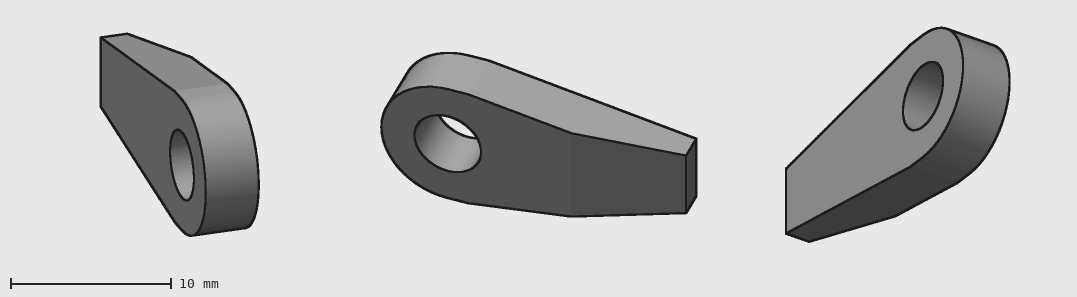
import cadquery as cq

length = 19.67
thickness = 3.5
head_height = 8.9
hole_diameter = head_height / 2
flat_length = 1.38
tip_height = 4.7
tip_thickness = 1.75
bevel_length = 6.96

head_radius = head_height / 2
tip_x = head_radius - length


def lever_plate():
    """Tapered plate with a round head, front face on Y = 0."""
    return (
        cq.Workplane("XZ")
        .moveTo(tip_x, -tip_height / 2)
        .lineTo(-flat_length, -head_radius)
        .lineTo(0, -head_radius)
        .threePointArc((head_radius, 0), (0, head_radius))
        .lineTo(-flat_length, head_radius)
        .lineTo(tip_x, tip_height / 2)
        .close()
        .extrude(-thickness)
    )


def tip_bevel():
    """Wedge removed from the back face to thin the tip."""
    return (
        cq.Workplane("XY")
        .moveTo(tip_x, tip_thickness)
        .lineTo(tip_x + bevel_length, thickness)
        .lineTo(tip_x, thickness)
        .close()
        .extrude(head_radius, both=True)
    )


def pivot_hole():
    """Through hole concentric with the round head."""
    return cq.Workplane("XZ").circle(hole_diameter / 2).extrude(-thickness)


result = lever_plate().cut(tip_bevel()).cut(pivot_hole())